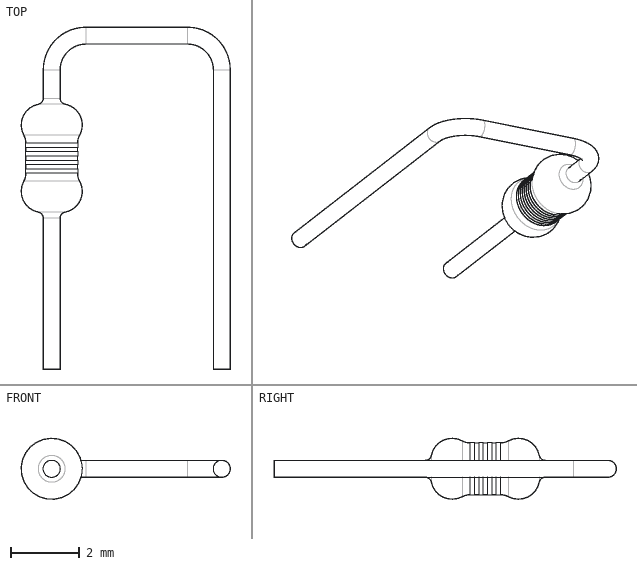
import cadquery as cq

overall_length = 10.05
wire_diameter = 0.5
lead_spacing = 4.99
bend_radius = 1.0
wire_radius = wire_diameter / 2
crossbar_y = overall_length - wire_radius

body_center_y = 6.2
bulge_radius = 1.8 / 2
waist_radius = 1.53 / 2
bulge_offset = 0.97
bulge_round = 0.62
waist_half_length = 0.44
body_half_length = 1.76

band_radius = 1.55 / 2
band_count = 4
band_width = 2 * waist_half_length / (2 * band_count - 1)


def make_lead():
    """Sweep the round wire along the U-shaped centreline."""
    path = (
        cq.Workplane("XY")
        .lineTo(0, crossbar_y - bend_radius)
        .radiusArc((bend_radius, crossbar_y), bend_radius)
        .lineTo(lead_spacing - bend_radius, crossbar_y)
        .radiusArc((lead_spacing, crossbar_y - bend_radius), bend_radius)
        .lineTo(lead_spacing, 0)
    )
    return cq.Workplane("XZ").circle(wire_radius).sweep(path)


def blend_radius(axial_distance, start_radius):
    """Radius of a hollow blend touching a cylinder and the bulge arc.

    The blend meets a cylinder of start_radius at axial_distance from the
    bulge arc's centre; the two arc centres are one sum of radii apart.
    """
    rise = start_radius - (bulge_radius - bulge_round)
    return (axial_distance**2 + rise**2 - bulge_round**2) / (2 * (bulge_round - rise))


def touching_point(axial_distance, start_radius):
    """Radius and axial distance, from the bulge centre, where blend and bulge meet."""
    blend = blend_radius(axial_distance, start_radius)
    arc_center_radius = bulge_radius - bulge_round
    share = bulge_round / (bulge_round + blend)
    radius = arc_center_radius + share * (start_radius + blend - arc_center_radius)
    return radius, share * axial_distance


def make_half_body():
    """Revolve the half of the body on the +Y side of its middle."""
    waist_reach = bulge_offset - waist_half_length
    end_reach = body_half_length - bulge_offset
    waist_touch, waist_shift = touching_point(waist_reach, waist_radius)
    end_touch, end_shift = touching_point(end_reach, wire_radius)
    profile = (
        cq.Workplane("XY")
        .lineTo(waist_radius, 0)
        .lineTo(waist_radius, waist_half_length)
        .tangentArcPoint((waist_touch, bulge_offset - waist_shift), relative=False)
        .threePointArc((bulge_radius, bulge_offset), (end_touch, bulge_offset + end_shift))
        .tangentArcPoint((wire_radius, body_half_length), relative=False)
        .lineTo(0, body_half_length)
        .close()
    )
    return profile.revolve(360, (0, 0, 0), (0, 1, 0))


def make_band(start_y):
    """Disc of one colour band, starting start_y from the body middle."""
    return cq.Workplane("XZ", origin=(0, start_y, 0)).circle(band_radius).extrude(-band_width)


def make_body():
    half = make_half_body()
    body = half.union(half.mirror("XZ"))
    for index in range(band_count):
        body = body.union(make_band(2 * index * band_width - waist_half_length))
    return body.translate((0, body_center_y, 0))


result = make_lead().union(make_body())